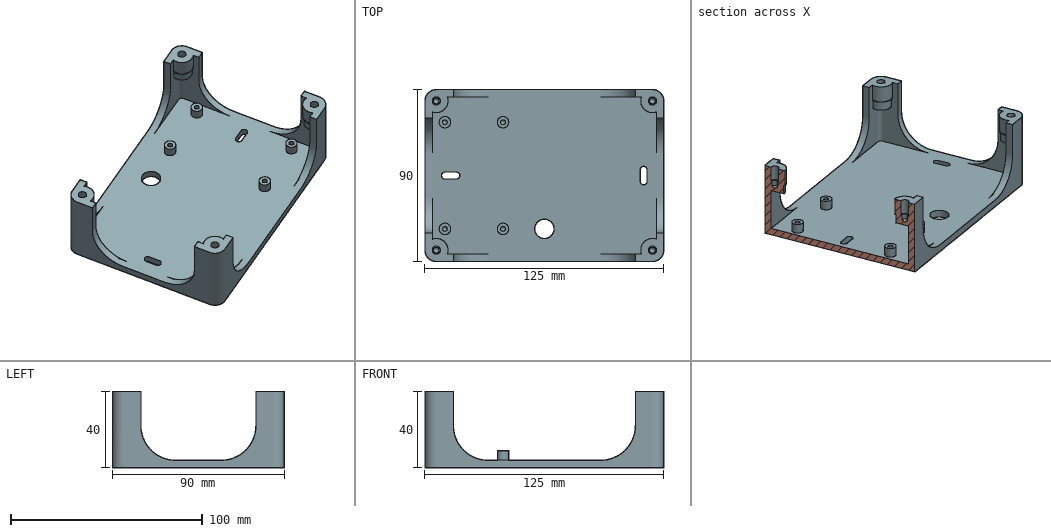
import cadquery as cq
import math

length = 125.0
width = 90.0
height = 40.0
wall = 4.0
floor = 4.0
corner_radius = 6.0
inner_corner_radius = corner_radius - wall

leg_width = 15.0
opening_radius = 18.0

boss_radius = 6.1
boss_height = 9.0
boss_tip_radius = 5.5
boss_tip_height = 5.0
entry_hole_radius = 2.1
entry_hole_depth = 8.0
screw_hole_radius = 1.5
screw_hole_depth = 11.0
boss_x = length / 2 - corner_radius
boss_y = width / 2 - corner_radius

post_radius = 3.0
post_height = 5.0
post_hole_radius = 1.2
post_hole_depth = post_height
post_xs = (-52.0, -21.6)
post_y = 27.9
post_top = floor + post_height

drill_tip_angle = 118.0

cable_hole_radius = 5.0
slot_length = 9.5
slot_width = 3.5
left_slot_x = -49.0
right_slot_x = 51.9


def cylinders(points, z, radius, depth):
    """Upright cylinders reaching down from height z by depth."""
    return cq.Workplane("XY", origin=(0, 0, z)).pushPoints(points).circle(radius).extrude(-depth)


def blind_holes(points, z, radius, depth):
    """Drilled holes going down from height z; the conical tip lies below the given depth."""
    tip_depth = radius / math.tan(math.radians(drill_tip_angle / 2))
    profile = [(0, 0), (radius, 0), (radius, -depth), (0, -depth - tip_depth)]
    drill = cq.Workplane("XZ").polyline(profile).close().revolve(360, (0, 0), (0, 1)).val()
    drills = [drill.translate(cq.Vector(x, y, z)) for x, y in points]
    return cq.Workplane("XY").newObject(drills).combine()


def upright_block(size_x, size_y, z):
    """Block of the full box height, centred in plan and standing at height z."""
    return cq.Workplane("XY", origin=(0, 0, z)).box(size_x, size_y, height, centered=(True, True, False))


def box_outline():
    """Solid outer form of the box, with rounded upright corners."""
    return upright_block(length, width, 0).edges("|Z").fillet(corner_radius)


def open_tray():
    """Tray with rounded upright corners, open at the top."""
    cavity = upright_block(length - 2 * wall, width - 2 * wall, floor).edges("|Z").fillet(inner_corner_radius)
    return box_outline().cut(cavity)


def wall_openings():
    """Openings with rounded lower corners, cutting both pairs of facing walls down to the floor."""
    along_y = upright_block(length - 2 * leg_width, 2 * width, floor)
    along_x = upright_block(2 * length, width - 2 * leg_width, floor)
    along_y = along_y.faces("<Z").edges("|Y").fillet(opening_radius)
    along_x = along_x.faces("<Z").edges("|X").fillet(opening_radius)
    return along_y, along_x


def floor_slot(x, angle):
    """Round-ended slot through the floor, on the centre line of the box."""
    return cq.Workplane("XY").center(x, 0).slot2D(slot_length, slot_width, angle).extrude(floor)


boss_points = [(x, y) for x in (-boss_x, boss_x) for y in (-boss_y, boss_y)]
post_points = [(x, y) for x in post_xs for y in (-post_y, post_y)]

tray = open_tray()
for opening in wall_openings():
    tray = tray.cut(opening)

bosses = cylinders(boss_points, height, boss_radius, boss_height)
bosses = bosses.union(cylinders(boss_points, height, boss_tip_radius, boss_height + boss_tip_height))
tray = tray.union(bosses.intersect(box_outline()))
tray = tray.cut(cylinders(boss_points, height, entry_hole_radius, entry_hole_depth))
tray = tray.cut(blind_holes(boss_points, height, screw_hole_radius, screw_hole_depth))

tray = tray.union(cylinders(post_points, post_top, post_radius, post_height))
tray = tray.cut(blind_holes(post_points, post_top, post_hole_radius, post_hole_depth))

tray = tray.cut(cylinders([(0, -post_y)], floor, cable_hole_radius, floor))
tray = tray.cut(floor_slot(left_slot_x, 0))
tray = tray.cut(floor_slot(right_slot_x, 90))

result = tray